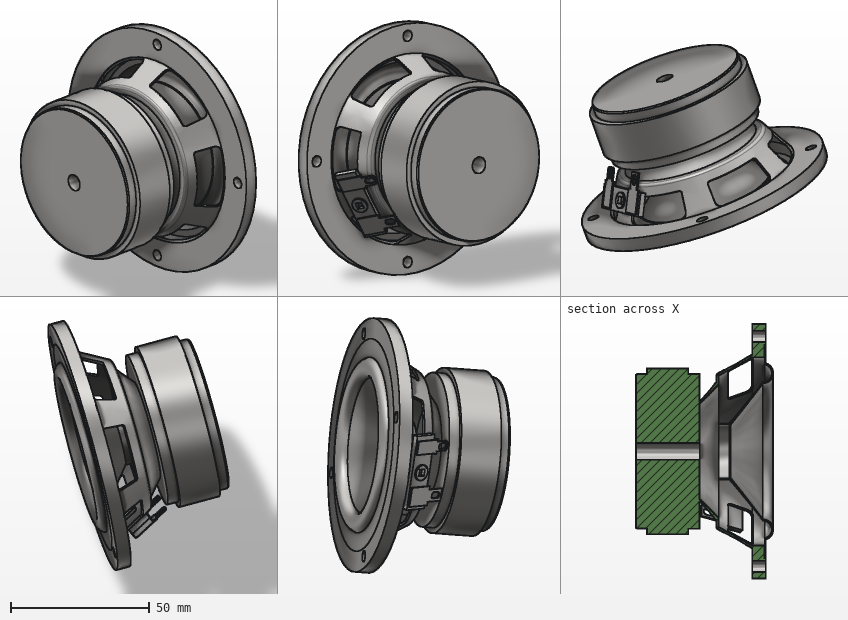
import cadquery as cq
import math


flange_radius = 46.0
flange_thickness = 5.0
bolt_hole_diameter = 4.0
bolt_circle_radius = 41.5
bolt_count = 4

basket_wall = 0.9
basket_top_radius = 35.0
basket_taper = 28.8
basket_depth = 13.0
basket_rim_fillet = 1.5
neck_top_radius = 25.0
neck_bottom_radius = 18.0

window_count = 6
window_span = 41.0
window_top_depth = 0.1
window_bottom_depth = 9.1
window_top_fillet = 2.3
window_bottom_fillet = 1.0
window_cutter_reach = 3.0

motor_depth = 19.0
front_plate_radius = 28.0
front_plate_thickness = 4.0
magnet_radius = 30.0
magnet_thickness = 15.0
back_plate_radius = 27.95
back_plate_thickness = 4.0
back_plate_bevel_width = 0.35
back_plate_bevel_height = 0.6
vent_radius = 3.0

sheet = 0.5
lip_radius = 38.5
roll_foot_radius = 31.8
roll_section_radius = 3.7
roll_height = 2.61
coil_radius = 10.2
cone_depth = 8.2
coil_end_depth = 12.0

terminal_angle = 210.0
plate_length = 27.8
plate_width = 8.7
plate_thickness = 2.0
plate_seat_depth = 0.3
plate_center_depth = 7.4

tab_thickness = 0.6
tab_start = -3.75
tab_hole_position = 8.6
tab_hole_length = 3.9
narrow_tab_position = -9.45
narrow_tab_width = 5.1
narrow_tab_shoulder = 5.95
narrow_tab_tip_width = 3.7
narrow_tab_tip_end = 10.9
narrow_tab_tip_fillet = 1.2
narrow_tab_hole_width = 2.2
ear_length = 0.8
ear_overhang = 0.3
wide_tab_position = 9.05
wide_tab_width = 7.2
wide_tab_shoulder = 5.1
wide_tab_tip_width = 4.6
wide_tab_tip_end = 11.3
wide_tab_hole_width = 2.4

screw_diameter = 5.8
screw_height = 0.6
screw_socket_size = 2.5
screw_socket_depth = 1.5

taper_cos = math.cos(math.radians(basket_taper))
taper_sin = math.sin(math.radians(basket_taper))


def basket_radius(depth):
    """Outer radius of the basket cone."""
    return basket_top_radius - depth * taper_sin / taper_cos


def revolve_about_y(outline, angle=360):
    return outline.close().revolve(angle, (0, 0, 0), (0, 1, 0))


def turn_about_y(body, angle):
    return body.rotate((0, 0, 0), (0, 1, 0), angle)


def make_basket():
    """Flange, conical shell and neck, hollow inside, with the recess for the lip of the cone."""
    shell = revolve_about_y(
        cq.Workplane("XY")
        .moveTo(0, flange_thickness)
        .lineTo(flange_radius, flange_thickness)
        .lineTo(flange_radius, 0)
        .lineTo(basket_top_radius, 0)
        .lineTo(basket_radius(basket_depth), -basket_depth)
        .lineTo(0, -basket_depth)
    )
    shell = shell.faces("<Y").edges().fillet(basket_rim_fillet)
    neck = revolve_about_y(
        cq.Workplane("XY")
        .moveTo(0, -basket_depth)
        .lineTo(neck_top_radius, -basket_depth)
        .lineTo(neck_bottom_radius, -motor_depth)
        .lineTo(0, -motor_depth)
    )
    radial_wall = basket_wall / taper_cos
    bore_radius = basket_top_radius - radial_wall
    rim_floor_depth = basket_depth - basket_wall
    lip_back = flange_thickness - sheet
    cavity = revolve_about_y(
        cq.Workplane("XY")
        .moveTo(0, flange_thickness)
        .lineTo(lip_radius, flange_thickness)
        .lineTo(lip_radius, lip_back)
        .lineTo(bore_radius, lip_back)
        .lineTo(bore_radius, 0)
        .lineTo(basket_radius(rim_floor_depth) - radial_wall, -rim_floor_depth)
        .lineTo(neck_top_radius - basket_wall, -rim_floor_depth)
        .lineTo(neck_bottom_radius - basket_wall, -motor_depth)
        .lineTo(0, -motor_depth)
    )
    return shell.union(neck).cut(cavity)


def make_window_cutter():
    """Rounded sector whose top and bottom walls stand square to the basket cone."""
    reach_r = window_cutter_reach * taper_cos
    reach_y = window_cutter_reach * taper_sin
    top_r = basket_radius(window_top_depth)
    bottom_r = basket_radius(window_bottom_depth)
    cutter = revolve_about_y(
        cq.Workplane("XY")
        .moveTo(top_r - reach_r, -window_top_depth + reach_y)
        .lineTo(top_r + reach_r, -window_top_depth - reach_y)
        .lineTo(bottom_r + reach_r, -window_bottom_depth - reach_y)
        .lineTo(bottom_r - reach_r, -window_bottom_depth + reach_y),
        window_span,
    )
    cutter = cutter.edges("%LINE").edges(">Y").fillet(window_top_fillet)
    cutter = cutter.edges("%LINE").edges("<Y").fillet(window_bottom_fillet)
    return turn_about_y(cutter, -window_span / 2)


def make_motor():
    """Front plate, magnet and back plate around the vent."""
    magnet_top = -motor_depth - front_plate_thickness
    magnet_bottom = magnet_top - magnet_thickness
    motor_bottom = magnet_bottom - back_plate_thickness
    return revolve_about_y(
        cq.Workplane("XY")
        .moveTo(vent_radius, -motor_depth)
        .lineTo(front_plate_radius, -motor_depth)
        .lineTo(front_plate_radius, magnet_top)
        .lineTo(magnet_radius, magnet_top)
        .lineTo(magnet_radius, magnet_bottom)
        .lineTo(back_plate_radius, magnet_bottom)
        .lineTo(back_plate_radius, motor_bottom + back_plate_bevel_height)
        .lineTo(back_plate_radius - back_plate_bevel_width, motor_bottom)
        .lineTo(vent_radius, motor_bottom)
    )


def make_frame():
    frame = make_basket().union(make_motor())
    window = make_window_cutter()
    for index in range(window_count):
        frame = frame.cut(turn_about_y(window, index * 360 / window_count))
    bolt_holes = (
        cq.Workplane("XZ", origin=(0, flange_thickness, 0))
        .polarArray(bolt_circle_radius, 0, 360, bolt_count)
        .circle(bolt_hole_diameter / 2)
        .extrude(flange_thickness)
    )
    return frame.cut(bolt_holes)


def make_cone():
    """Lip, half-roll surround, cone and coil former as one sheet, closed across the neck."""
    lip_front = flange_thickness
    lip_back = lip_front - sheet
    outer = roll_section_radius
    inner = outer - sheet
    center_y = lip_front + roll_height - outer
    center_r = roll_foot_radius - math.sqrt(outer**2 - (lip_front - center_y) ** 2)
    inner_foot_r = center_r + math.sqrt(inner**2 - (lip_back - center_y) ** 2)
    return revolve_about_y(
        cq.Workplane("XY")
        .moveTo(0, -cone_depth)
        .lineTo(coil_radius - sheet, -cone_depth)
        .lineTo(coil_radius - sheet, -coil_end_depth)
        .lineTo(coil_radius, -coil_end_depth)
        .lineTo(coil_radius, -cone_depth)
        .lineTo(center_r - inner, center_y)
        .threePointArc((center_r, center_y + inner), (inner_foot_r, lip_back))
        .lineTo(lip_radius, lip_back)
        .lineTo(lip_radius, lip_front)
        .lineTo(roll_foot_radius, lip_front)
        .threePointArc((center_r, center_y + outer), (center_r - outer, center_y))
        .lineTo(coil_radius - sheet, sheet - cone_depth)
        .lineTo(0, sheet - cone_depth)
    )


def make_tab_part(face, position, width, start, end):
    return face.center(position, (start + end) / 2).rect(width, end - start).extrude(tab_thickness)


def make_tab_hole(face, position, width):
    return face.center(position, tab_hole_position).slot2D(tab_hole_length, width, 90).extrude(tab_thickness)


def make_narrow_tab(face):
    """Tab with small ears at its shoulder and a rounded tip."""
    ear_width = narrow_tab_width + 2 * ear_overhang
    ear_start = narrow_tab_shoulder - ear_length
    position = narrow_tab_position
    body = make_tab_part(face, position, narrow_tab_width, tab_start, narrow_tab_shoulder)
    ears = make_tab_part(face, position, ear_width, ear_start, narrow_tab_shoulder)
    tip = make_tab_part(face, position, narrow_tab_tip_width, narrow_tab_shoulder, narrow_tab_tip_end)
    across_sheet = cq.selectors.ParallelDirSelector(face.plane.zDir)
    tip = tip.faces("<Y").edges(across_sheet).fillet(narrow_tab_tip_fillet)
    return body.union(ears).union(tip).cut(make_tab_hole(face, position, narrow_tab_hole_width))


def make_wide_tab(face):
    """Tab with a square tip."""
    position = wide_tab_position
    body = make_tab_part(face, position, wide_tab_width, tab_start, wide_tab_shoulder)
    tip = make_tab_part(face, position, wide_tab_tip_width, wide_tab_shoulder, wide_tab_tip_end)
    return body.union(tip).cut(make_tab_hole(face, position, wide_tab_hole_width))


def make_terminal():
    """Plate parallel to the basket cone, with two solder tabs and a screw head on its outer face."""
    angle = math.radians(terminal_angle)
    outward = cq.Vector(math.cos(angle), 0, math.sin(angle))
    backward = cq.Vector(0, -1, 0)
    normal = outward * taper_cos + backward * taper_sin
    spoke_point = outward * basket_radius(plate_center_depth) + backward * plate_center_depth
    seat = cq.Plane(
        origin=spoke_point - normal * plate_seat_depth,
        xDir=backward.cross(outward),
        normal=normal,
    )
    plate = cq.Workplane(seat).rect(plate_length, plate_width).extrude(plate_thickness)
    face = cq.Workplane(seat).workplane(offset=plate_thickness)
    screw = face.circle(screw_diameter / 2).extrude(screw_height)
    socket = (
        face.workplane(offset=screw_height)
        .rect(screw_socket_size, screw_socket_size)
        .extrude(-screw_socket_depth)
    )
    terminal = plate.union(make_narrow_tab(face)).union(make_wide_tab(face))
    return terminal.union(screw).cut(socket)


terminal = make_terminal()
cone = make_cone()

frame = make_frame().cut(terminal)

result = cq.Compound.makeCompound([body.solids().val() for body in (frame, cone, terminal)])